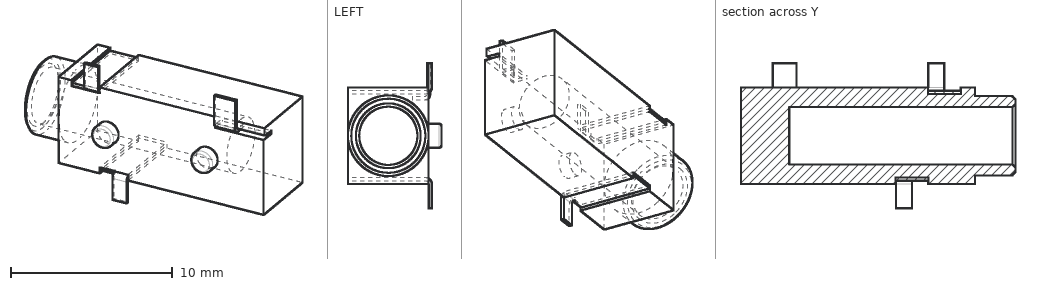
import cadquery as cq
import math

length = 17.0
body_height = 6.0
body_depth = 5.0
barrel_length = 2.5
half_height = body_height / 2
axis_y = body_depth / 2

barrel_radius = body_depth / 2
barrel_chamfer = 0.2
bore_radius = 1.8
mouth_radius = 2.0
mouth_chamfer = mouth_radius - bore_radius
bore_depth = 14.0

peg_radius = 0.75
peg_height = 0.8
peg_edge_radius = 0.15
peg_positions = (6.0, 13.0)

sheet = 0.2
tab_overhang = 1.5
tab_tip = half_height + tab_overhang

plate_length = 2.0
plate_edge = 0.05
front_tab_back = 0.0
front_tab_width = 1.0
front_bend = 2 * sheet
upper_plate_start = 3.4
lower_plate_start = upper_plate_start + plate_length

rear_tab_start = 13.55
rear_tab_width = 1.5
rear_tab_back = 0.1
rear_bend = 0.35
rear_foot_bottom = 2.23
rear_foot_depth = 1.0


def box(x_start, y_start, z_start, x_size, y_size, z_size):
    """Box placed by its lowest corner."""
    corner = (x_start, y_start, z_start)
    return cq.Workplane("XY", origin=corner).box(x_size, y_size, z_size, centered=False)


def bent_sheet(x_start, width, back, bottom, bend, foot_end, tip):
    """L-shaped strip: a foot running along +Y and a tab rising along +Z, joined by a bend."""
    front = back - sheet
    inner_bend = bend - sheet
    bend_y = front + bend
    bend_z = bottom + bend
    diagonal = math.sqrt(0.5)
    outer_mid = (bend_y - bend * diagonal, bend_z - bend * diagonal)
    inner_mid = (bend_y - inner_bend * diagonal, bend_z - inner_bend * diagonal)
    return (
        cq.Workplane("YZ", origin=(x_start, 0, 0))
        .moveTo(foot_end, bottom)
        .lineTo(bend_y, bottom)
        .threePointArc(outer_mid, (front, bend_z))
        .lineTo(front, tip)
        .lineTo(back, tip)
        .lineTo(back, bend_z)
        .threePointArc(inner_mid, (bend_y, bottom + sheet))
        .lineTo(foot_end, bottom + sheet)
        .close()
        .extrude(width)
    )


def make_barrel():
    return (
        cq.Workplane("YZ", origin=(0, axis_y, 0))
        .circle(barrel_radius)
        .extrude(barrel_length)
        .faces("<X")
        .chamfer(barrel_chamfer)
    )


def make_bore():
    """Blind plug bore with a conical mouth."""
    return (
        cq.Workplane("XY", origin=(0, axis_y, 0))
        .lineTo(0, mouth_radius)
        .lineTo(mouth_chamfer, bore_radius)
        .lineTo(bore_depth, bore_radius)
        .lineTo(bore_depth, 0)
        .close()
        .revolve(360, (0, 0, 0), (1, 0, 0))
    )


def make_peg(x_position):
    return (
        cq.Workplane("XZ", origin=(x_position, 0, 0))
        .circle(peg_radius)
        .extrude(peg_height)
        .faces("<Y")
        .edges()
        .fillet(peg_edge_radius)
    )


def make_plate_notch(x_start):
    """Notch across the upper side, open above the contact plate."""
    return box(x_start, 0, half_height - front_bend, plate_length, body_depth, front_bend)


def make_rear_slot():
    """Slot shaped like the rear contact, squared below the bend and open to the rear."""
    slot_length = length - rear_tab_start
    strip = bent_sheet(
        rear_tab_start, slot_length, rear_tab_back, rear_foot_bottom, rear_bend, rear_foot_depth, half_height
    )
    bend_clearance = box(
        rear_tab_start, 0, rear_foot_bottom, slot_length, rear_tab_back - sheet + rear_bend, sheet
    )
    face_clearance = box(
        rear_tab_start, 0, rear_foot_bottom, slot_length, rear_tab_back, half_height - rear_foot_bottom
    )
    return strip.union(bend_clearance).union(face_clearance)


def make_housing():
    block = box(barrel_length, 0, -half_height, length - barrel_length, body_depth, body_height)
    housing = block.union(make_barrel()).cut(make_bore())
    for x_position in peg_positions:
        housing = housing.union(make_peg(x_position))
    upper_notch = make_plate_notch(upper_plate_start)
    lower_notch = make_plate_notch(lower_plate_start).mirror("XY")
    return housing.cut(upper_notch).cut(lower_notch).cut(make_rear_slot())


def make_front_contact(plate_start):
    """Plate across the housing with an upturned tab at the rear end of its front edge."""
    bottom = half_height - front_bend
    tab_start = plate_start + plate_length - front_tab_width
    plate = box(
        plate_start, plate_edge, bottom, plate_length - front_tab_width, body_depth - plate_edge, sheet
    )
    tab = bent_sheet(tab_start, front_tab_width, front_tab_back, bottom, front_bend, body_depth, tab_tip)
    return plate.union(tab)


def make_rear_contact():
    return bent_sheet(
        rear_tab_start, rear_tab_width, rear_tab_back, rear_foot_bottom, rear_bend, rear_foot_depth, tab_tip
    )


housing = make_housing()
upper_contact = make_front_contact(upper_plate_start)
lower_contact = make_front_contact(lower_plate_start).mirror("XY")
rear_contact = make_rear_contact()

result = cq.Compound.makeCompound(
    [body.solids().val() for body in (housing, upper_contact, lower_contact, rear_contact)]
)